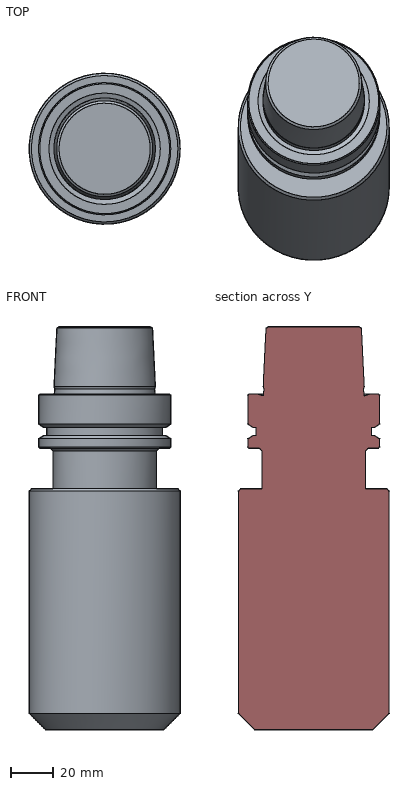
import cadquery as cq

total_height = 191.9
flange_top = 159.9
flange_height = 26.0
flange_bottom = flange_top - flange_height
body_top = 114.8

body_radius = 35.98
body_bottom_chamfer = 7.9
body_top_chamfer = 1.2

neck_radius = 24.8
neck_cone = 1.2

flange_radius = 31.5
flange_chamfer = 0.5
groove_floor_radius = 27.6
groove_center = 142.0
groove_mouth_width = 7.0
groove_floor_width = 3.6
groove_shoulder_radius = 29.0

recess_outer_radius = 26.5
recess_depth = 0.8

taper_bottom_radius = 24.2
relief_radius = 23.8
foot_radius = 24.2
taper_bottom = 163.3
relief_top = 162.2
taper_top_radius = 22.8
tip_chamfer_width = 1.2
tip_chamfer_height = 0.8

groove_mouth_low = groove_center - groove_mouth_width / 2
groove_mouth_high = groove_center + groove_mouth_width / 2
groove_floor_low = groove_center - groove_floor_width / 2
groove_floor_high = groove_center + groove_floor_width / 2

body_section = [
    (0, 0),
    (body_radius - body_bottom_chamfer, 0),
    (body_radius, body_bottom_chamfer),
    (body_radius, body_top - body_top_chamfer),
    (body_radius - body_top_chamfer, body_top),
]
neck_section = [
    (neck_radius, body_top),
    (neck_radius, flange_bottom - neck_cone),
    (neck_radius + neck_cone, flange_bottom),
]
flange_section = [
    (flange_radius - flange_chamfer, flange_bottom),
    (flange_radius, flange_bottom + flange_chamfer),
    (flange_radius, groove_mouth_low),
    (groove_shoulder_radius, groove_floor_low),
    (groove_floor_radius, groove_floor_low),
    (groove_floor_radius, groove_floor_high),
    (groove_shoulder_radius, groove_floor_high),
    (flange_radius, groove_mouth_high),
    (flange_radius, flange_top - flange_chamfer),
    (flange_radius - flange_chamfer, flange_top),
]
shank_section = [
    (recess_outer_radius, flange_top),
    (foot_radius, flange_top - recess_depth),
    (relief_radius, relief_top),
    (taper_bottom_radius, taper_bottom),
    (taper_top_radius, total_height - tip_chamfer_height),
    (taper_top_radius - tip_chamfer_width, total_height),
    (0, total_height),
]

section = body_section + neck_section + flange_section + shank_section
result = cq.Workplane("XZ").polyline(section).close().revolve(360, (0, 0), (0, 1))